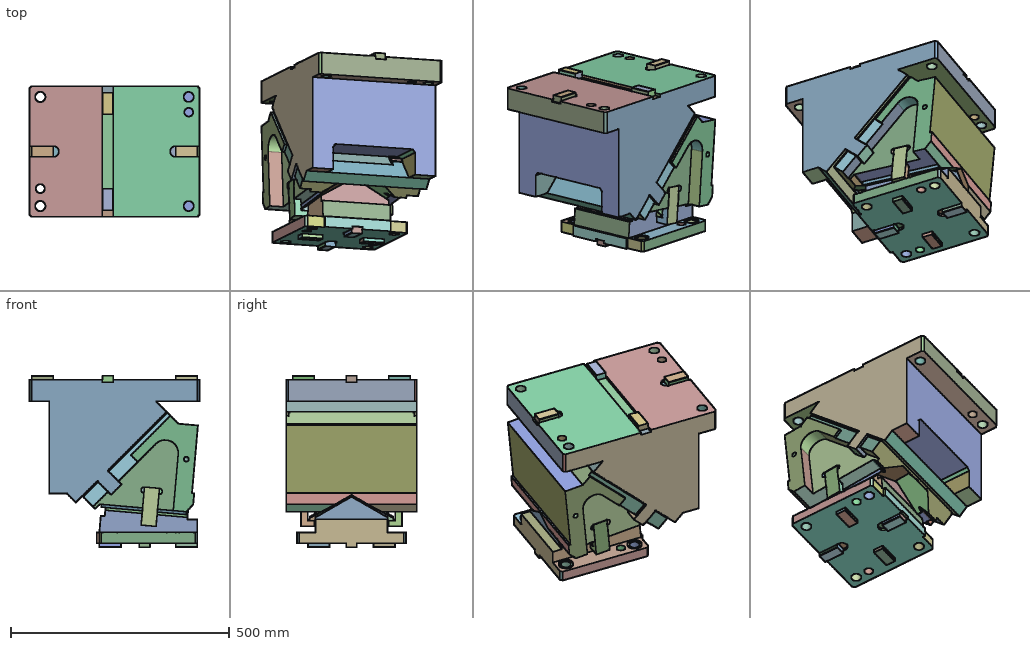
import cadquery as cq
import math

SQ = math.sqrt(0.5)
SLIDE_TIP_X, SLIDE_TIP_Z = -73.5, 93.5
TILT = math.radians(5)
DRIVE_X, DRIVE_Z = 180.0, 72.4
OVER = 20.0


def slide(u, v):
    """XZ point: u up along the slide face, v square to it, into the slider."""
    return SLIDE_TIP_X + (u + v) * SQ, SLIDE_TIP_Z + (u - v) * SQ


def drive(a, b):
    """XZ point: a along the tilted driving direction, b square to it, upward."""
    x = DRIVE_X + a * math.cos(TILT) + b * math.sin(TILT)
    z = DRIVE_Z - a * math.sin(TILT) + b * math.cos(TILT)
    return x, z


def slab(points, y_low, y_high):
    """XZ outline extruded between two Y values."""
    plane = cq.Workplane("XZ", origin=(0, y_high, 0))
    return plane.polyline(points).close().extrude(y_high - y_low)


def slab_pair(points, y_inner, y_outer):
    """The same slab on both sides of the symmetry plane."""
    return slab(points, y_inner, y_outer).union(slab(points, -y_outer, -y_inner))


def drive_bar(profile, a_low, a_high):
    """Profile of (y, b) points extruded along the driving direction."""
    x, z = drive(a_low, 0)
    direction = (math.cos(TILT), 0, -math.sin(TILT))
    plane = cq.Plane(origin=(x, 0, z), xDir=(0, 1, 0), normal=direction)
    return cq.Workplane(plane).polyline(profile).close().extrude(a_high - a_low)


def mirrored(half):
    """Closes a half profile of (y, b) points across the symmetry plane."""
    return half + [(-y, b) for y, b in reversed(half) if y != 0]


def box(x_low, x_high, y_low, y_high, z_low, z_high):
    size = (x_high - x_low, y_high - y_low, z_high - z_low)
    return cq.Workplane("XY").box(*size, centered=False).translate((x_low, y_low, z_low))


KEY_LENGTH, KEY_WIDTH = 50.0, 25.0
KEY_DEPTH = 6.0
KEY_STAND = 9.0
KEY_CHAMFER = 1.0
KEY_INSET = 5.0
KEYWAY_LENGTH = 67.5


def key(x, y, face_z, outward, along):
    """Key centred on (x, y) in a plate face; outward is +1 above, -1 below the plate."""
    height = KEY_DEPTH + KEY_STAND
    blank = cq.Workplane("XY").box(KEY_LENGTH, KEY_WIDTH, height)
    blank = blank.faces(">Z").edges("|X").chamfer(KEY_CHAMFER)
    if outward < 0:
        blank = blank.rotate((0, 0, 0), (1, 0, 0), 180)
    if along == "Y":
        blank = blank.rotate((0, 0, 0), (0, 0, 1), 90)
    middle_z = face_z + outward * (KEY_STAND - KEY_DEPTH) / 2
    return blank.translate((x, y, middle_z))


def end_keyway(edge_x, inward, z_low):
    """Keyway cutter along X, open at the plate edge and round inside."""
    radius = KEY_WIDTH / 2
    round_x = edge_x + inward * (KEYWAY_LENGTH - radius)
    open_x = edge_x - inward * OVER
    channel = box(min(open_x, round_x), max(open_x, round_x), -radius, radius, z_low, z_low + KEY_DEPTH)
    end = cq.Workplane("XY", origin=(round_x, 0, z_low)).circle(radius).extrude(KEY_DEPTH)
    return channel.union(end)


HOLDER_LEFT, HOLDER_RIGHT, HOLDER_HALF = -180.0, 210.0, 150.0
HOLDER_TOP, HOLDER_PLATE = 375.0, 50.0
HOLDER_CORNER = 5.0
BODY_LEFT, BODY_BOTTOM = -134.5, 114.0
SLIDE_LENGTH = 294.0

HOOK_LOW, HOOK_HIGH = 69.5, 103.5
HOOK_REACH = 44.5
BAR_DEPTH = 34.5
BAR_HALF = 144.0
POCKET_HALF = 117.0

CAVITY_HALF, CAVITY_TOP = 100.0, 173.0
CAVITY_CORNER_Y, CAVITY_CORNER_Z = 6.0, 7.5
RECESS_HALF, RECESS_BOTTOM, RECESS_DEPTH = 74.0, 148.5, 5.0
RIB_LOW, RIB_HIGH, RIB_HEIGHT = 158.0, 167.0, 2.0

SCREW_INSET, SCREW_DIAMETER = 25.0, 23.0
DOWEL_DIAMETER = 20.0
LEFT_DOWEL_Y, RIGHT_DOWEL_Y = -85.0, 90.0
TOP_KEY_INSET = 15.0


def holder_cavity():
    """Opening under the body: flat roof, bevelled upper corners, floor parallel to the slide face."""
    floor_x, floor_z = SLIDE_TIP_X - (BODY_BOTTOM - SLIDE_TIP_Z), BODY_BOTTOM
    rise = CAVITY_TOP - floor_z
    outline = [
        (BODY_LEFT - OVER, floor_z - OVER),
        (floor_x - OVER, floor_z - OVER),
        (floor_x + rise, CAVITY_TOP),
        (BODY_LEFT - OVER, CAVITY_TOP),
    ]
    section = mirrored([
        (CAVITY_HALF, floor_z - OVER),
        (CAVITY_HALF, CAVITY_TOP - CAVITY_CORNER_Z),
        (CAVITY_HALF - CAVITY_CORNER_Y, CAVITY_TOP),
    ])
    start_x = BODY_LEFT - OVER
    tunnel = cq.Workplane("YZ", origin=(start_x, 0, 0)).polyline(section).close()
    tunnel = tunnel.extrude(floor_x + rise - start_x)
    cavity = slab(outline, -CAVITY_HALF, CAVITY_HALF).intersect(tunnel)

    low_x = floor_x + RECESS_BOTTOM - floor_z
    shift = RECESS_DEPTH * SQ
    recess = [
        (low_x, RECESS_BOTTOM),
        (low_x + shift, RECESS_BOTTOM - shift),
        (floor_x + rise + 2 * shift, CAVITY_TOP),
        (floor_x + rise, CAVITY_TOP),
    ]
    cavity = cavity.union(slab(recess, -RECESS_HALF, RECESS_HALF))

    lift = RIB_HEIGHT * SQ
    rib = [
        (floor_x + RIB_LOW - floor_z, RIB_LOW),
        (floor_x + RIB_LOW - floor_z - lift, RIB_LOW + lift),
        (floor_x + RIB_HIGH - floor_z - lift, RIB_HIGH + lift),
        (floor_x + RIB_HIGH - floor_z, RIB_HIGH),
    ]
    return cavity.cut(slab_pair(rib, RECESS_HALF, CAVITY_HALF))


def make_holder():
    plate_bottom = HOLDER_TOP - HOLDER_PLATE
    body = box(HOLDER_LEFT, HOLDER_RIGHT, -HOLDER_HALF, HOLDER_HALF, plate_bottom, HOLDER_TOP)
    body = body.edges("|Z").chamfer(HOLDER_CORNER)

    top_x, top_z = slide(SLIDE_LENGTH, 0)
    bottom_rise = BODY_BOTTOM - SLIDE_TIP_Z
    wedge = [
        (BODY_LEFT, plate_bottom),
        (BODY_LEFT, BODY_BOTTOM),
        (SLIDE_TIP_X - bottom_rise, BODY_BOTTOM),
        slide(0, 0),
        (top_x, top_z),
        (top_x - (plate_bottom - top_z), plate_bottom),
    ]
    body = body.union(slab(wedge, -HOLDER_HALF, HOLDER_HALF))
    body = body.cut(holder_cavity())

    cheek = [slide(u, v) for u, v in (
        (HOOK_LOW, 0), (HOOK_HIGH, 0), (HOOK_HIGH, HOOK_REACH), (HOOK_LOW, HOOK_REACH))]
    lip = [slide(u, v) for u, v in (
        (HOOK_LOW, BAR_DEPTH), (HOOK_HIGH, BAR_DEPTH), (HOOK_HIGH, HOOK_REACH), (HOOK_LOW, HOOK_REACH))]
    body = body.union(slab_pair(cheek, BAR_HALF, HOLDER_HALF))
    body = body.union(slab_pair(lip, POCKET_HALF, HOLDER_HALF))

    left_x, right_x = HOLDER_LEFT + SCREW_INSET, HOLDER_RIGHT - SCREW_INSET
    screw_y = HOLDER_HALF - SCREW_INSET
    screws = [(x, y) for x in (left_x, right_x) for y in (-screw_y, screw_y)]
    dowels = [(left_x, LEFT_DOWEL_Y), (right_x, RIGHT_DOWEL_Y)]
    for centres, diameter in ((screws, SCREW_DIAMETER), (dowels, DOWEL_DIAMETER)):
        drill = cq.Workplane("XY", origin=(0, 0, plate_bottom)).pushPoints(centres)
        body = body.cut(drill.circle(diameter / 2).extrude(HOLDER_PLATE))

    floor_z = HOLDER_TOP - KEY_DEPTH
    half_key = KEY_WIDTH / 2
    body = body.cut(box(-half_key, half_key, -HOLDER_HALF, HOLDER_HALF, floor_z, HOLDER_TOP))
    for edge_x, inward in ((HOLDER_LEFT, 1), (HOLDER_RIGHT, -1)):
        body = body.cut(end_keyway(edge_x, inward, floor_z))
        key_x = edge_x + inward * (KEY_INSET + KEY_LENGTH / 2)
        body = body.union(key(key_x, 0, HOLDER_TOP, 1, "X"))
    key_y = HOLDER_HALF - TOP_KEY_INSET - KEY_LENGTH / 2
    for y in (-key_y, key_y):
        body = body.union(key(0, y, HOLDER_TOP, 1, "Y"))
    return body


SLIDER_LOW = 21.0
NOSE_LENGTH, NOSE_DEPTH = 15.0, 41.5
SLIDER_LEFT = -196.0
SLIDER_HEIGHT = 199.5
BACK, BACK_STEP = 9.0, 14.0
STEP_LOW, STEP_HIGH = 18.0, 44.0
FACE_HALF, FACE_RELIEF = 142.0, 2.5
BAR_END = 166.0
BAR_SHALLOW = 12.5
POCKET_WALL = -30.5
POCKET_RADIUS = 30.0
ROOF_ANGLE = math.radians(30)
ROOF_SLOPE = math.tan(ROOF_ANGLE)
LINER_HALF = 84.3
LINER_THICK = 7.6
PIN_A, PIN_B, PIN_DIAMETER, PIN_DEPTH = -11.0, 120.0, 11.0, 15.0
DRILL_POINT = math.radians(118)

STRAP_LEFT, STRAP_RIGHT = -101.0, -66.5
STRAP_BOTTOM, STRAP_TOP = -39.5, 48.0
STRAP_INNER, STRAP_OUTER = 100.0, 116.0
FOOT_TOP, FOOT_INNER = -26.0, 84.5
RELIEF_RADIUS = 7.0


def drive_rectangle(a_low, a_high, b_low, b_high):
    return [drive(a_low, b_low), drive(a_high, b_low), drive(a_high, b_high), drive(a_low, b_high)]


def slider_outline():
    top_sum = sum(slide(SLIDE_LENGTH, 0))
    top_left = (top_sum - sum(drive(0, SLIDER_HEIGHT))) / (math.cos(TILT) - math.sin(TILT))
    return [
        slide(SLIDER_LOW, 0),
        slide(SLIDE_LENGTH, 0),
        drive(top_left, SLIDER_HEIGHT),
        drive(BACK, SLIDER_HEIGHT),
        drive(BACK, STEP_HIGH),
        drive(BACK_STEP, STEP_HIGH),
        drive(BACK_STEP, STEP_LOW),
        drive(0, 0),
        drive(SLIDER_LEFT, 0),
        slide(SLIDER_LOW + NOSE_LENGTH, NOSE_DEPTH),
        slide(SLIDER_LOW, NOSE_DEPTH),
    ]


def side_pockets():
    """Pockets under the bars, open at the bottom, with one round upper corner."""
    foot_x, foot_z = drive(POCKET_WALL, 0)
    foot_v = (foot_x - SLIDE_TIP_X - foot_z + SLIDE_TIP_Z) * SQ
    corner_b = (foot_v - BAR_DEPTH) / (SQ * (math.cos(TILT) - math.sin(TILT)))
    outline = [
        slide(-OVER, BAR_DEPTH),
        drive(POCKET_WALL, corner_b),
        drive(POCKET_WALL, STRAP_BOTTOM),
        drive(SLIDER_LEFT - 2 * OVER, STRAP_BOTTOM),
    ]
    cutter = slab(outline, POCKET_HALF, HOLDER_HALF).edges("|Y").edges(">Z").fillet(POCKET_RADIUS)
    return cutter.union(cutter.mirror("XZ"))


def make_slider():
    body = slab(slider_outline(), -HOLDER_HALF, HOLDER_HALF)

    low, high = -OVER, SLIDE_LENGTH + OVER
    bar = [slide(u, v) for u, v in (
        (low, -OVER), (high, -OVER), (high, BAR_SHALLOW), (BAR_END, BAR_SHALLOW),
        (BAR_END, BAR_DEPTH), (low, BAR_DEPTH))]
    relief = [slide(u, v) for u, v in ((low, -OVER), (high, -OVER), (high, FACE_RELIEF), (low, FACE_RELIEF))]
    body = body.cut(slab_pair(bar, BAR_HALF, HOLDER_HALF))
    body = body.cut(slab_pair(relief, FACE_HALF, HOLDER_HALF))
    body = body.cut(side_pockets())

    liner_y = LINER_HALF - LINER_THICK * math.sin(ROOF_ANGLE)
    liner_b = -LINER_THICK * math.cos(ROOF_ANGLE)
    groove_b = -2 * OVER
    groove = [
        (liner_y + (liner_b - groove_b) / ROOF_SLOPE, groove_b),
        (0, liner_b + liner_y * ROOF_SLOPE),
    ]
    body = body.cut(drive_bar(mirrored(groove), SLIDER_LEFT - 2 * OVER, BACK_STEP + OVER))
    inner_y = liner_y + liner_b / ROOF_SLOPE
    section = [
        (LINER_HALF, 0),
        (liner_y, liner_b),
        (inner_y, 0),
        (inner_y, LINER_THICK / 2),
        (LINER_HALF, LINER_THICK / 2),
    ]
    groove_room = drive_bar(mirrored(groove), SLIDER_LEFT, 0)
    liner = drive_bar(section, SLIDER_LEFT, 0).cut(groove_room)
    body = body.union(liner).union(liner.mirror("XZ"))

    strap = drive_rectangle(STRAP_LEFT, STRAP_RIGHT, STRAP_BOTTOM, STRAP_TOP)
    foot = drive_rectangle(STRAP_LEFT, STRAP_RIGHT, STRAP_BOTTOM, FOOT_TOP)
    body = body.cut(slab_pair(strap, STRAP_OUTER, POCKET_HALF))
    reliefs = [drive(a, STRAP_TOP - RELIEF_RADIUS) for a in (STRAP_LEFT, STRAP_RIGHT)]
    relief_bore = cq.Workplane("XZ", origin=(0, POCKET_HALF, 0)).pushPoints(reliefs)
    relief_bore = relief_bore.circle(RELIEF_RADIUS).extrude(POCKET_HALF - STRAP_INNER)
    body = body.cut(relief_bore).cut(relief_bore.mirror("XZ"))
    body = body.union(slab_pair(strap, STRAP_INNER, STRAP_OUTER))
    body = body.union(slab_pair(foot, FOOT_INNER, STRAP_OUTER))

    radius = PIN_DIAMETER / 2
    pin_x, pin_z = drive(PIN_A, PIN_B)
    inward = cq.Vector(0, 1, 0)
    mouth = cq.Vector(pin_x, -HOLDER_HALF, pin_z)
    point_height = radius / math.tan(DRILL_POINT / 2)
    bore = cq.Workplane(cq.Solid.makeCylinder(radius, PIN_DEPTH, mouth, inward))
    point = cq.Solid.makeCone(radius, 0, point_height, mouth + inward * PIN_DEPTH, inward)
    bore = bore.union(cq.Workplane(point))
    return body.cut(bore).cut(bore.mirror("XZ"))


BASE_LEFT, BASE_RIGHT, BASE_HALF = -20.0, 205.0, 125.0
BASE_PLATE, BASE_CORNER = 25.0, 5.0
TONGUE_LEFT, TONGUE_HALF = -26.0, 80.0
BLOCK_HALF = 82.5
LEFT_LEDGE_Z, RIGHT_LEDGE_Z = 63.0, 55.0
ROOF_LEFT, ROOF_RIGHT = -186.0, 3.5
EAVE = -12.7
ROOF_FOOT = -30.0
FLANGE_HALF = 96.0
COUNTERBORE_DIAMETER, COUNTERBORE_DEPTH = 33.0, 2.0
BASE_DOWEL_OFFSET = 35.0
BASE_KEY_X, BASE_KEY_Y = 84.0, 75.0


def make_base():
    body = box(BASE_LEFT, BASE_RIGHT, -BASE_HALF, BASE_HALF, 0, BASE_PLATE).edges("|Z").chamfer(BASE_CORNER)
    body = body.union(box(TONGUE_LEFT, BASE_RIGHT, -TONGUE_HALF, TONGUE_HALF, 0, BASE_PLATE))

    lean = (LEFT_LEDGE_Z - BASE_PLATE) * math.tan(TILT)
    block = [
        (BASE_LEFT, BASE_PLATE),
        (BASE_LEFT + lean, LEFT_LEDGE_Z),
        (drive(ROOF_LEFT, ROOF_FOOT)[0], LEFT_LEDGE_Z),
        (drive(ROOF_RIGHT, ROOF_FOOT)[0], RIGHT_LEDGE_Z),
        (BASE_RIGHT, RIGHT_LEDGE_Z),
        (BASE_RIGHT, BASE_PLATE),
    ]
    body = body.union(slab(block, -BLOCK_HALF, BLOCK_HALF))

    ridge = (0, EAVE + BLOCK_HALF * ROOF_SLOPE)
    roof = [(BLOCK_HALF, ROOF_FOOT), (BLOCK_HALF, EAVE), ridge]
    body = body.union(drive_bar(mirrored(roof), ROOF_LEFT, ROOF_RIGHT))
    flange_b = EAVE - (FLANGE_HALF - BLOCK_HALF) * ROOF_SLOPE
    flange = [(FLANGE_HALF, FOOT_TOP), (FLANGE_HALF, flange_b), (BLOCK_HALF, EAVE)]
    body = body.union(drive_bar(mirrored(flange), STRAP_LEFT, STRAP_RIGHT))

    left_x, right_x = BASE_LEFT + SCREW_INSET, BASE_RIGHT - SCREW_INSET
    hole_y = BASE_HALF - SCREW_INSET
    screws = [(x, y) for x in (left_x, right_x) for y in (-hole_y, hole_y)]
    dowels = [(right_x - BASE_DOWEL_OFFSET, -hole_y), (left_x + BASE_DOWEL_OFFSET, hole_y)]
    for centres, diameter, floor_z in (
        (screws, SCREW_DIAMETER, 0),
        (screws, COUNTERBORE_DIAMETER, BASE_PLATE - COUNTERBORE_DEPTH),
        (dowels, DOWEL_DIAMETER, 0),
    ):
        drill = cq.Workplane("XY", origin=(0, 0, floor_z)).pushPoints(centres)
        body = body.cut(drill.circle(diameter / 2).extrude(BASE_PLATE - floor_z))

    for edge_x, inward in ((BASE_LEFT, 1), (BASE_RIGHT, -1)):
        body = body.cut(end_keyway(edge_x, inward, 0))
        key_x = edge_x + inward * KEY_LENGTH / 2
        body = body.union(key(key_x, 0, 0, -1, "X"))
    for y in (-BASE_KEY_Y, BASE_KEY_Y):
        body = body.union(key(BASE_KEY_X, y, 0, -1, "Y"))
    return body


holder = make_holder()
slider = make_slider()
base = make_base()

result = cq.Compound.makeCompound([holder.val(), slider.val(), base.val()])